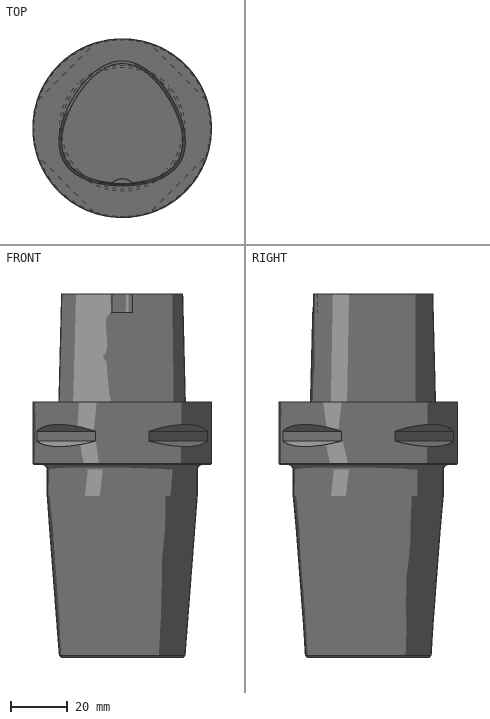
import cadquery as cq
import math

total_height = 128.0
shank_height = 38.0
flange_height = 22.0
collar_height = 11.1
flange_top = total_height - shank_height
flange_bottom = flange_top - flange_height
taper_top = flange_bottom - collar_height

flange_radius = 63.0 / 2
collar_radius = 52.9 / 2
nose_radius = 44.3 / 2
nose_chamfer = 0.8
flange_chamfer = 0.4
neck_fillet = 1.9

shank_radius = 22.0
lobe_offset = 1.7
shank_taper = 1 / 20
arcs_per_outline = 6
spans_per_arc = 6

notch_radius = 5.0
notch_height = 6.5
notch_wall_y = -17.8

groove_count = 4
groove_floor_distance = 27.9
groove_floor_top = 79.6
groove_floor_bottom = 76.2
groove_rise = 2.4
groove_drop = 1.9


def make_body():
    """Turned body with flange, straight collar and tapered nose."""
    profile = (
        cq.Workplane("XZ")
        .lineTo(nose_radius - nose_chamfer, 0)
        .lineTo(nose_radius, nose_chamfer)
        .lineTo(collar_radius, taper_top)
        .lineTo(collar_radius, flange_bottom - neck_fillet)
        .radiusArc((collar_radius + neck_fillet, flange_bottom), neck_fillet)
        .lineTo(flange_radius - flange_chamfer, flange_bottom)
        .lineTo(flange_radius, flange_bottom + flange_chamfer)
        .lineTo(flange_radius, flange_top)
        .lineTo(0, flange_top)
        .close()
    )
    return profile.revolve(360, (0, 0, 0), (0, 1, 0))


def lobed_outline(mean_radius, z):
    """Closed hypotrochoid with one lobe toward +Y, split at every 60 degrees."""

    def point(angle):
        x = mean_radius * math.sin(angle) - lobe_offset * math.sin(2 * angle)
        y = mean_radius * math.cos(angle) + lobe_offset * math.cos(2 * angle)
        return (x, y)

    def direction(angle):
        x = mean_radius * math.cos(angle) - 2 * lobe_offset * math.cos(2 * angle)
        y = -mean_radius * math.sin(angle) - 2 * lobe_offset * math.sin(2 * angle)
        return cq.Vector(x, y, 0)

    step = 2 * math.pi / arcs_per_outline
    arcs = []
    for index in range(arcs_per_outline):
        start = (index + 0.5) * step
        angles = [start + step * part / spans_per_arc for part in range(spans_per_arc + 1)]
        points = [cq.Vector(*point(angle), z) for angle in angles]
        tangents = [direction(angles[0]), direction(angles[-1])]
        arcs.append(cq.Edge.makeSpline(points, tangents=tangents))
    return cq.Wire.assembleEdges(arcs)


def make_shank():
    top_radius = shank_radius - shank_height * shank_taper / 2
    base = lobed_outline(shank_radius, flange_top)
    top = lobed_outline(top_radius, total_height)
    return cq.Workplane(cq.Solid.makeLoft([base, top], True))


def make_notch():
    return (
        cq.Workplane("XY", origin=(0, notch_wall_y - notch_radius, total_height - notch_height))
        .circle(notch_radius)
        .extrude(notch_height)
    )


def make_groove():
    """Straight groove with a flat floor and sloping sides, facing +X."""
    groove_profile = [
        (groove_floor_distance, groove_floor_bottom),
        (flange_radius, groove_floor_bottom - groove_drop),
        (flange_radius, groove_floor_top + groove_rise),
        (groove_floor_distance, groove_floor_top),
    ]
    return cq.Workplane("XZ").polyline(groove_profile).close().extrude(flange_radius, both=True)


result = make_body().union(make_shank()).cut(make_notch())
for groove_index in range(groove_count):
    groove_angle = (groove_index + 0.5) * 360 / groove_count
    result = result.cut(make_groove().rotate((0, 0, 0), (0, 0, 1), groove_angle))